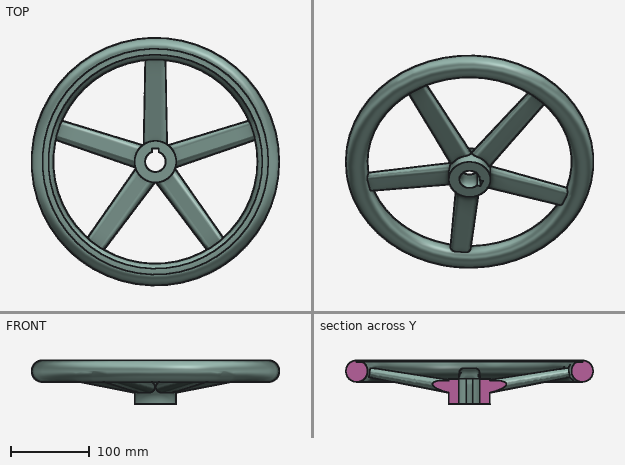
import cadquery as cq

outer_radius = 157.5
rim_height = 28.0
ledge_depth = 2.2
rim_section_radius = rim_height / 2
rim_centre_radius = outer_radius - rim_section_radius

overall_height = 56.0
hub_radius = 26.5
hub_height = 32.0
bore_radius = 13.0
keyway_width = 8.5
keyway_reach = 16.7
hub_bottom = rim_section_radius - overall_height

spoke_count = 5
first_spoke_angle = 90.0
spoke_flat_width = 14.2
spoke_start_radius = 19.0
spoke_end_radius = 135.5
spoke_start_thickness = 16.0
spoke_end_thickness = 11.5
spoke_start_z = -20.8
spoke_end_z = -1.3


def make_rim():
    section = cq.Workplane("XZ").center(rim_centre_radius, 0).circle(rim_section_radius)
    ring = section.revolve(360, (-rim_centre_radius, 0), (-rim_centre_radius, 1))
    ledge_cut = (
        cq.Workplane("XY")
        .workplane(offset=rim_section_radius - ledge_depth)
        .circle(rim_centre_radius)
        .extrude(ledge_depth)
    )
    return ring.cut(ledge_cut)


def make_hub():
    hub = cq.Workplane("XY").workplane(offset=hub_bottom).circle(hub_radius).extrude(hub_height)
    return hub.faces(">Z").workplane().circle(bore_radius).cutThruAll()


def make_keyway():
    return (
        cq.Workplane("XY")
        .workplane(offset=hub_bottom)
        .center(0, keyway_reach / 2)
        .rect(keyway_width, keyway_reach)
        .extrude(hub_height)
    )


def make_spoke():
    return (
        cq.Workplane("YZ")
        .workplane(offset=spoke_start_radius)
        .center(0, spoke_start_z)
        .slot2D(spoke_flat_width + spoke_start_thickness, spoke_start_thickness)
        .workplane(offset=spoke_end_radius - spoke_start_radius)
        .center(0, spoke_end_z - spoke_start_z)
        .slot2D(spoke_flat_width + spoke_end_thickness, spoke_end_thickness)
        .loft(ruled=True)
    )


result = make_rim().union(make_hub())
spoke = make_spoke()
for index in range(spoke_count):
    angle = first_spoke_angle + index * 360 / spoke_count
    result = result.union(spoke.rotate((0, 0, 0), (0, 0, 1), angle))
result = result.cut(make_keyway())